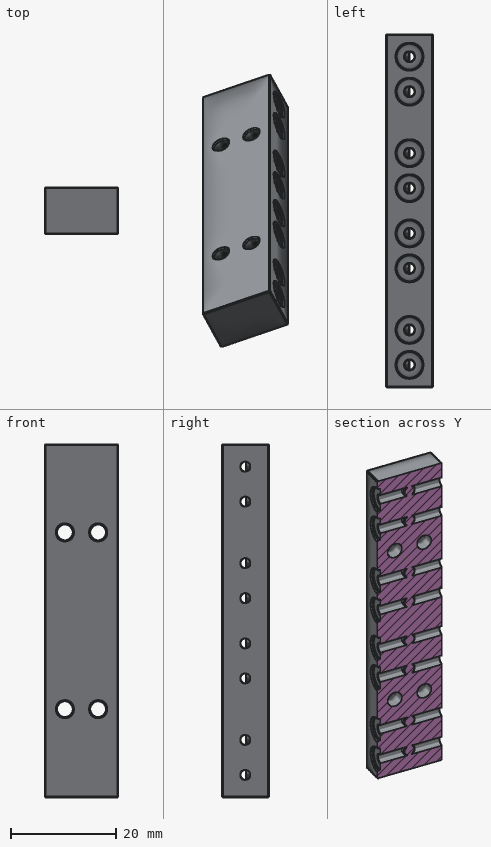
import cadquery as cq

width = 13.95
thickness = 8.9
height = 67.05
edge_chamfer = 0.215
face_x = -width / 2

mount_radius = 1.5
mount_chamfer = 0.3
mount_spacing_x = 6.3
mount_spacing_z = height / 2

port_radius = 0.95
port_chamfer = 0.15
counterbore_radius = 2.4
counterbore_depth = 0.6
counterbore_chamfer = 0.3
port_pair_spacing = 18.3
port_spacing = 6.65

bar_radius = 1.2
bar_chamfer = 0.15


def mirrored(centre, spacing):
    """Two positions placed evenly about a centre."""
    return [centre - spacing / 2, centre + spacing / 2]


def mounting_hole(x, z):
    """Through-hole cutter along Y with a countersink at both faces."""
    mouth_radius = mount_radius + mount_chamfer
    half = thickness / 2
    profile = [
        (0, -half),
        (mouth_radius, -half),
        (mount_radius, mount_chamfer - half),
        (mount_radius, half - mount_chamfer),
        (mouth_radius, half),
        (0, half),
    ]
    cutter = cq.Workplane("XY").polyline(profile).close().revolve(360, (0, 0), (0, 1))
    return cutter.translate((x, 0, z))


def port(z):
    """Through-hole cutter along X with a counterbore at the -X face, both chamfered."""
    mouth_radius = counterbore_radius + counterbore_chamfer
    floor_x = face_x + counterbore_depth
    profile = [
        (face_x, 0),
        (face_x, mouth_radius),
        (face_x + counterbore_chamfer, counterbore_radius),
        (floor_x, counterbore_radius),
        (floor_x, port_radius + port_chamfer),
        (floor_x + port_chamfer, port_radius),
        (width / 2, port_radius),
        (width / 2, 0),
    ]
    cutter = cq.Workplane("XY").polyline(profile).close().revolve(360, (0, 0), (1, 0))
    return cutter.translate((0, 0, z))


def port_bar(z):
    """Chamfered bar from the middle of a port into the wall on its +Y side."""
    length = thickness / 4
    bar = cq.Workplane("XZ").circle(bar_radius).extrude(-length).faces("<Y").chamfer(bar_chamfer)
    return bar.translate((0, 0, z))


result = cq.Workplane("XY").box(width, thickness, height).edges().chamfer(edge_chamfer)

for row_z in mirrored(0, mount_spacing_z):
    for hole_x in mirrored(0, mount_spacing_x):
        result = result.cut(mounting_hole(hole_x, row_z))
    for pair_z in mirrored(row_z, port_pair_spacing):
        for port_z in mirrored(pair_z, port_spacing):
            result = result.cut(port(port_z)).union(port_bar(port_z))